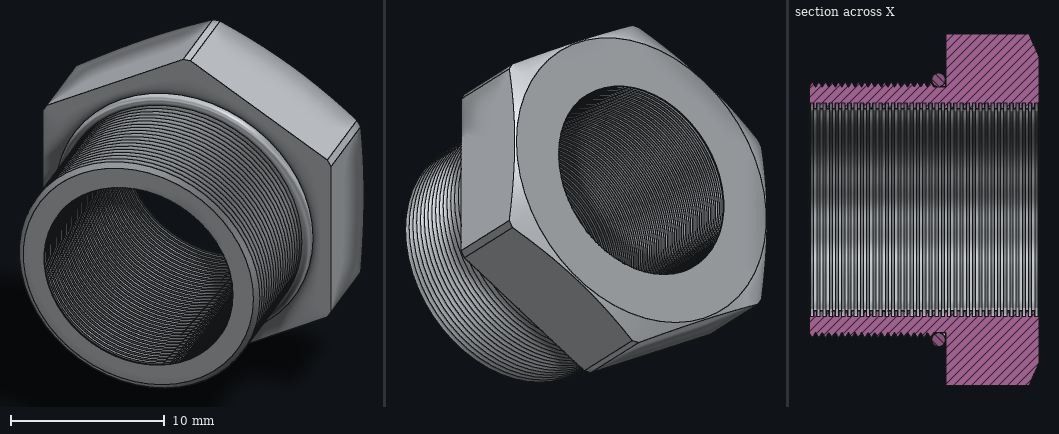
import cadquery as cq
import math


HEX_ACROSS_FLATS = 20.07
HEX_CORNER_RADIUS = 11.45
HEX_LENGTH = 6.1
HEX_BACK_RADIUS = 9.93
HEX_CHAMFER_DEPTH = 0.66

SPIGOT_LENGTH = 8.88
THREAD_CREST_RADIUS = 8.37
THREAD_ROOT_RADIUS = 8.0
THREAD_LENGTH = 8.12
THREAD_RIDGES = 19
THREAD_PITCH = THREAD_LENGTH / THREAD_RIDGES

BORE_RADIUS = 6.57
BORE_GROOVES = 37
BORE_PITCH = (SPIGOT_LENGTH + HEX_LENGTH) / BORE_GROOVES
BORE_GROOVE_WIDTH = BORE_PITCH / 2
BORE_END_LAND = (BORE_PITCH - BORE_GROOVE_WIDTH) / 2
BORE_GROOVE_DEPTH = 0.37
GROOVE_BOTTOM_RADIUS = BORE_RADIUS + BORE_GROOVE_DEPTH

RING_SECTION_RADIUS = 0.45
RING_CENTER_RADIUS = THREAD_ROOT_RADIUS + RING_SECTION_RADIUS


def thread_ridges():
    """(radius, y) points of V ridges, each going from root to crest and back to root."""
    points = [(THREAD_ROOT_RADIUS, -SPIGOT_LENGTH)]
    for ridge in range(THREAD_RIDGES):
        ridge_start = -SPIGOT_LENGTH + ridge * THREAD_PITCH
        points.append((THREAD_CREST_RADIUS, ridge_start + THREAD_PITCH / 2))
        points.append((THREAD_ROOT_RADIUS, ridge_start + THREAD_PITCH))
    return points


def bore_grooves():
    """(radius, y) points of flat-bottomed grooves separated by equal lands."""
    points = [(BORE_RADIUS, -SPIGOT_LENGTH)]
    for groove in range(BORE_GROOVES):
        groove_start = -SPIGOT_LENGTH + BORE_END_LAND + groove * BORE_PITCH
        groove_end = groove_start + BORE_GROOVE_WIDTH
        points.append((BORE_RADIUS, groove_start))
        points.append((GROOVE_BOTTOM_RADIUS, groove_start))
        points.append((GROOVE_BOTTOM_RADIUS, groove_end))
        points.append((BORE_RADIUS, groove_end))
    points.append((BORE_RADIUS, HEX_LENGTH))
    return points


def revolve_about_axis(profile):
    """Revolve a closed (radius, y) profile about the Y axis."""
    return profile.revolve(360, (0, 0, 0), (0, 1, 0))


def make_head():
    """Hexagon with two flats facing +X and -X, turned corners and a chamfered back."""
    across_corners = HEX_ACROSS_FLATS / math.cos(math.pi / 6)
    hexagon = (
        cq.Workplane("XZ")
        .polygon(6, across_corners)
        .extrude(-HEX_LENGTH)
        .rotate((0, 0, 0), (0, 1, 0), 90)
    )
    turned_envelope = revolve_about_axis(
        cq.Workplane("XY").polyline([
            (0, 0),
            (HEX_CORNER_RADIUS, 0),
            (HEX_CORNER_RADIUS, HEX_LENGTH - HEX_CHAMFER_DEPTH),
            (HEX_BACK_RADIUS, HEX_LENGTH),
            (0, HEX_LENGTH),
        ]).close()
    )
    return hexagon.intersect(turned_envelope)


def make_spigot():
    """Spigot with annular thread ridges and a plain neck that seats the ring."""
    outline = [(0, -SPIGOT_LENGTH), *thread_ridges(), (THREAD_ROOT_RADIUS, 0), (0, 0)]
    return revolve_about_axis(cq.Workplane("XY").polyline(outline).close())


def make_bore():
    """Through bore, as a solid to cut, with ring grooves along its whole length."""
    outline = [(0, -SPIGOT_LENGTH), *bore_grooves(), (0, HEX_LENGTH)]
    return revolve_about_axis(cq.Workplane("XY").polyline(outline).close())


def make_housing():
    """Hexagonal head and threaded spigot as one body with the bore through both."""
    return make_head().union(make_spigot()).cut(make_bore())


def make_seal_ring():
    """Round-section ring resting on the neck and against the hexagon."""
    section = (
        cq.Workplane("XY", origin=(RING_CENTER_RADIUS, -RING_SECTION_RADIUS, 0))
        .circle(RING_SECTION_RADIUS)
    )
    axis_x = -RING_CENTER_RADIUS
    return section.revolve(360, (axis_x, 0, 0), (axis_x, 1, 0))


housing = make_housing()
seal_ring = make_seal_ring()

result = cq.Compound.makeCompound([housing.val(), seal_ring.val()])